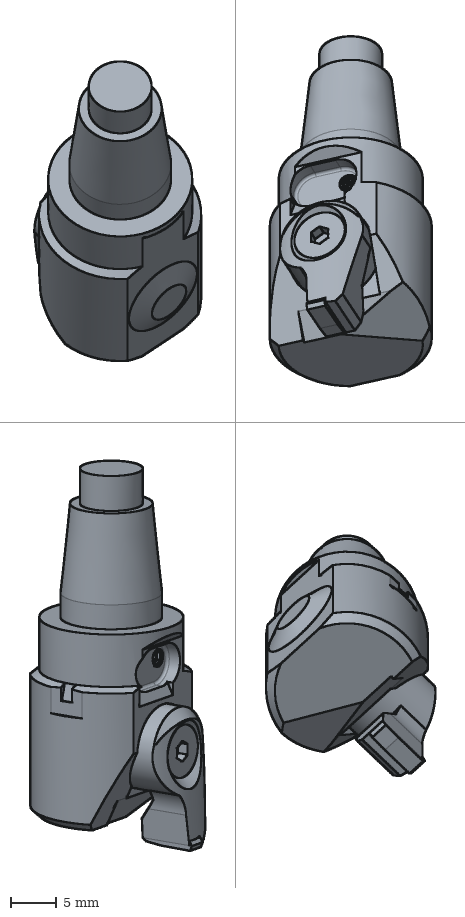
import cadquery as cq
import math


tip_radius = 7.0 / 2
tip_top = 17.0
taper_top = 13.0
taper_top_radius = 9.2 / 2
taper_bottom = 2.8
shank_radius = 11.3 / 2

collar_radius = 16.0 / 2
body_radius = 9.0
shoulder_top = -6.0
shoulder_bottom = -6.5
body_bottom = -22.5
bottom_chamfer_top = -21.6
bottom_chamfer = 1.0
collar_lip = 0.9
cutter_size = 40.0
outside = -20.0

front_flat = -6.95
back_flat = 7.43
ramp_top = -13.5
ramp_end = -2.62
ramp_slope = (ramp_end - front_flat) / (ramp_top - body_bottom)
notch_left = 4.67
notch_top = -19.5
notch_end = -2.2
corner_cut_point = (-4.35, -7.9, -18.9)
corner_cut_normal = (-13.2, -7.26, -24.5)
side_flat = 8.75
side_flat_bottom = -9.5
groove_width = 1.45
groove_top_y = collar_radius
groove_bottom_y = 8.57
groove_bottom = -7.9

pocket_length = 8.0
pocket_width = 5.0
pocket_y = 0.65
pocket_z = -4.7
pocket_depth = 1.8
pocket_fillet = 0.35
lead_in_left = 4.5
lead_in_right = -1.96
lead_in_bottom = -8.35
lead_in_height = 2.2
lead_in_depth = 1.2
socket_y = -1.65
socket_z = -4.3
socket_rim_radius = 2.0 / 2
socket_rim_depth = 0.2
socket_hex = 1.45
socket_depth = 0.6
socket_point_radius = 0.9 / 2
socket_point_end = 1.0

tool_z = -14.0
seat_radius = 5.0
seat_floor = -4.0
seat_left = 2.85
seat_bottom = -19.6
boss_face = 8.5
boss_radius = 4.9
boss_face_radius = 2.47

tool_radius = 4.93
tool_back = -6.5
rim_chamfer_start = -8.98
rim_chamfer = 2.0
crest_top_x = -10.2
crest_top_z = -10.4
crest_slope = 0.068
face_radius = 9.0
arm_bottom = -24.4
arm_right_start = (-4.85, -14.9)
arm_right_corner = (-3.1, -23.45)
arm_chamfer_end = (-2.35, arm_bottom)
neck_bottom = (1.1, -20.9)
neck_middle = (1.5, -19.2)
neck_top = (3.3, -17.6)
foot_back = -4.8
foot_top = -22.2
heel_top = -19.75
edge_left = 0.85
edge_right = -1.27
edge_front = -11.46
edge_bottom = -25.0
edge_root = -23.6
edge_root_front = -10.9
edge_tip = (-11.2, edge_bottom)
edge_relief_start = (-7.3, -24.95)
edge_relief_end = (-5.3, -24.75)

head_radius = 6.0 / 2
head_face = -9.6
head_back = -7.4
head_flare = 2.0
thread_radius = 4.0 / 2
clearance_radius = 4.2 / 2
screw_end = 2.0
drive_hex = 2.05
drive_depth = 1.3


def block(x_range, y_range, z_range):
    """Box between the given pairs of limits."""
    sizes = [high - low for low, high in (x_range, y_range, z_range)]
    corner = (x_range[0], y_range[0], z_range[0])
    return cq.Workplane("XY").box(*sizes, centered=False).translate(corner)


def x_plane(x, y=0.0, z=0.0):
    """Plane facing +X, with local axes along Y and Z."""
    return cq.Workplane("YZ", origin=(x, y, z))


def tool_cylinder(radius, x_start, x_end):
    """Cylinder on the tool axis."""
    return x_plane(x_start, z=tool_z).circle(radius).extrude(x_end - x_start)


def tool_turning(profile):
    """Solid of revolution about the tool axis from (x, radius) points."""
    axis_end = (1, 0, 0)
    plane = cq.Workplane("XZ", origin=(0, 0, tool_z))
    return plane.polyline(profile).close().revolve(360, (0, 0, 0), axis_end)


def side_profile(points, y_low, y_high):
    """Prism along Y from (x, z) points."""
    plane = cq.Workplane("XZ", origin=(0, y_high, 0))
    return plane.polyline(points).close().extrude(y_high - y_low)


def hexagon_socket(across_flats, x, y, z, depth):
    """Hexagonal prism going in +X, with two corners in line with Z."""
    diameter = across_flats / math.cos(math.pi / 6)
    return x_plane(x, y, z).transformed(rotate=(0, 0, 90)).polygon(6, diameter).extrude(depth)


def turned_holder():
    profile = [
        (0, tip_top),
        (tip_radius, tip_top),
        (tip_radius, taper_top),
        (taper_top_radius, taper_top),
        (shank_radius, taper_bottom),
        (shank_radius, 0),
        (collar_radius, 0),
        (collar_radius, shoulder_top),
        (body_radius, shoulder_bottom),
        (body_radius, bottom_chamfer_top),
        (body_radius - bottom_chamfer, body_bottom),
        (0, body_bottom),
    ]
    return cq.Workplane("XZ").polyline(profile).close().revolve()


def front_cut():
    """Flat on the tool side: a 45 degree run-out under the collar lip, a ramp at the bottom."""
    flat_top = -collar_lip - (front_flat + collar_radius)
    points = [
        (outside, -collar_lip - collar_radius - outside),
        (front_flat, flat_top),
        (front_flat, ramp_top),
        (ramp_end, body_bottom),
        (outside, body_bottom),
    ]
    return side_profile(points, -cutter_size / 2, cutter_size / 2)


def back_cut():
    span = (-cutter_size / 2, cutter_size / 2)
    return block((back_flat, cutter_size), span, (body_bottom, -collar_lip))


def side_cut():
    """Shallow flat on the +Y side with a slanted groove at the shoulder."""
    span = (-collar_radius, collar_radius)
    flat = block(span, (side_flat, cutter_size), (side_flat_bottom, shoulder_top))
    groove_points = [
        (groove_top_y, shoulder_top),
        (groove_bottom_y, groove_bottom),
        (body_radius, groove_bottom),
        (body_radius, shoulder_top),
    ]
    groove = x_plane(-groove_width / 2).polyline(groove_points).close().extrude(groove_width)
    return flat.union(groove)


def notch_cut():
    """Steeper face in the lower part of the ramp, open to -Y."""
    ramp_x = front_flat + ramp_slope * (ramp_top - notch_top)
    points = [(ramp_x, notch_top), (notch_end, body_bottom), (ramp_x, body_bottom)]
    return side_profile(points, -cutter_size / 2, notch_left)


def corner_cut():
    """Slanted flat across the lower -X, -Y corner."""
    plane = cq.Plane(origin=corner_cut_point, normal=corner_cut_normal)
    return cq.Workplane(plane).rect(cutter_size, cutter_size).extrude(cutter_size)


def pocket_cut():
    floor = front_flat + pocket_depth
    slot = x_plane(outside, pocket_y, pocket_z).slot2D(pocket_length, pocket_width).extrude(floor - outside)
    slot = slot.faces(">X").edges().fillet(pocket_fillet)
    lead_in_top = lead_in_bottom + lead_in_height
    lead_in = side_profile(
        [
            (outside, lead_in_bottom),
            (front_flat, lead_in_bottom),
            (front_flat + lead_in_depth, lead_in_top),
            (outside, lead_in_top),
        ],
        lead_in_right,
        lead_in_left,
    )
    rim = x_plane(floor, socket_y, socket_z).circle(socket_rim_radius).extrude(socket_rim_depth)
    socket = hexagon_socket(socket_hex, floor, socket_y, socket_z, socket_depth)
    point = x_plane(floor, socket_y, socket_z).circle(socket_point_radius).extrude(socket_point_end)
    return slot.union(lead_in).union(rim).union(socket).union(point)


def seat_cut():
    """Round seat for the tool, squared off downwards where it leaves the ramp."""
    round_seat = tool_cylinder(seat_radius, outside, seat_floor)
    square_seat = block((outside, seat_floor), (-seat_radius, seat_left), (seat_bottom, tool_z))
    thread = tool_cylinder(thread_radius, seat_floor, screw_end)
    return round_seat.union(square_seat).union(thread)


def back_boss():
    """Low cone on the back flat, in line with the tool."""
    profile = [
        (0, 0),
        (0, boss_radius),
        (back_flat, boss_radius),
        (boss_face, boss_face_radius),
        (boss_face, 0),
    ]
    return tool_turning(profile)


def make_holder():
    holder = turned_holder()
    for cut in (front_cut(), back_cut(), side_cut(), notch_cut(), corner_cut(), pocket_cut()):
        holder = holder.cut(cut)
    return holder.union(back_boss()).cut(seat_cut())


def tool_face():
    """Large leaning cylinder whose surface is the rounded front face of the tool."""
    lean = math.hypot(1, crest_slope)
    down = (-crest_slope / lean, 0, -1 / lean)
    inward = (1 / lean, 0, -crest_slope / lean)
    rise = cutter_size / 2
    origin = (
        crest_top_x + inward[0] * face_radius - down[0] * rise,
        0,
        crest_top_z + inward[2] * face_radius - down[2] * rise,
    )
    plane = cq.Plane(origin=origin, xDir=(0, 1, 0), normal=down)
    return cq.Workplane(plane).circle(face_radius).extrude(2 * cutter_size)


def rim_cut():
    """45 degree bevel around the upper half of the head."""
    bevel_end = rim_chamfer_start - rim_chamfer
    profile = [
        (rim_chamfer_start, tool_radius),
        (bevel_end, tool_radius),
        (bevel_end, tool_radius - rim_chamfer),
    ]
    span = (-tool_radius, tool_radius)
    upper_half = block((bevel_end, rim_chamfer_start), span, (tool_z, tool_z + tool_radius))
    return tool_turning(profile).intersect(upper_half)


def tool_arm():
    """Tapering arm down to the cutting edge, with a heel that steps back towards the holder."""
    outline = (
        x_plane(-cutter_size / 2)
        .moveTo(0, tool_z)
        .lineTo(*arm_right_start)
        .lineTo(*arm_right_corner)
        .lineTo(*arm_chamfer_end)
        .lineTo(edge_left, arm_bottom)
        .lineTo(*neck_bottom)
        .threePointArc(neck_middle, neck_top)
        .close()
        .extrude(cutter_size)
    )
    side = side_profile(
        [
            (outside, tool_z),
            (tool_back, tool_z),
            (tool_back, heel_top),
            (foot_back, foot_top),
            (foot_back, arm_bottom),
            (outside, arm_bottom),
        ],
        -cutter_size / 2,
        cutter_size / 2,
    )
    return outline.intersect(side)


def cutting_edge():
    """Narrow blade under the arm, relieved towards the back."""
    points = [
        (edge_root_front, edge_root),
        (edge_front, arm_bottom),
        edge_tip,
        edge_relief_start,
        edge_relief_end,
        (foot_back, arm_bottom),
        (foot_back, edge_root),
    ]
    return side_profile(points, edge_right, edge_left)


def screw_recess():
    """Clearance hole, head seat and 45 degree countersink for the clamp screw."""
    profile = [
        (seat_floor, 0),
        (seat_floor, clearance_radius),
        (head_back, clearance_radius),
        (head_back, head_radius),
        (head_face, head_radius),
        (head_face - head_flare, head_radius + head_flare),
        (head_face - head_flare, 0),
    ]
    return tool_turning(profile)


def make_tool():
    blank = tool_cylinder(tool_radius, edge_front, seat_floor).union(tool_arm())
    tool = blank.intersect(tool_face()).cut(rim_cut())
    return tool.union(cutting_edge()).cut(screw_recess())


def make_screw():
    head = tool_cylinder(head_radius, head_face, head_back)
    thread = tool_cylinder(thread_radius, head_back, screw_end)
    drive = hexagon_socket(drive_hex, head_face, 0, tool_z, drive_depth)
    return head.union(thread).cut(drive)


holder = make_holder()
tool = make_tool()
screw = make_screw()
result = cq.Compound.makeCompound([holder.val(), tool.val(), screw.val()])